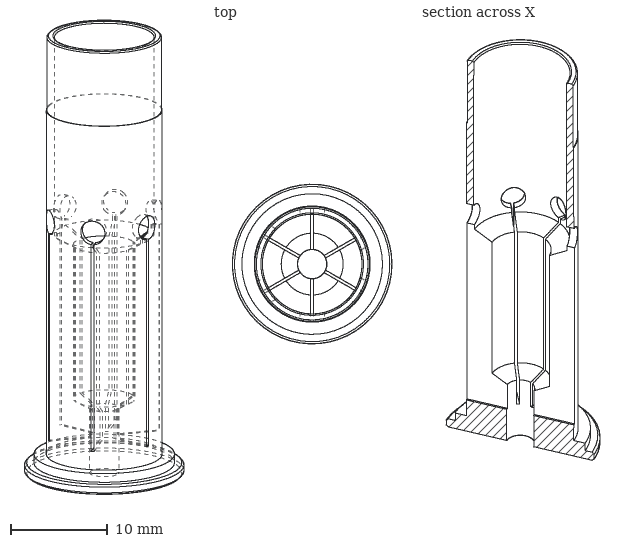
import cadquery as cq
import math

total_height = 47.0

flange_diameter = 16.5
flange_height = 1.1
flange_chamfer = 0.25
collar_diameter = 14.5
collar_top = 2.0

tube_diameter = 12.0
neck_diameter = 11.85
neck_bottom = 39.0
rim_chamfer = 0.155

keyhole_count = 6
slot_width = 0.3
slot_bottom = 4.0
relief_diameter = 2.55
relief_height = 27.5

guide_diameter = 3.0
middle_bore_diameter = 6.4
wide_bore_diameter = 10.3
cone_slope = 30.0
guide_top = slot_bottom + guide_diameter
middle_bore_top = 24.55


def disc(diameter, height):
    """Upright cylinder standing on the base plane, centred on the part axis."""
    return cq.Workplane("XY").circle(diameter / 2).extrude(height)


def outer_body():
    """Solid flange, collar, tube and neck."""
    flange = disc(flange_diameter, flange_height).edges().chamfer(flange_chamfer)
    collar = disc(collar_diameter, collar_top)
    tube = disc(tube_diameter, neck_bottom)
    neck = disc(neck_diameter, total_height).faces(">Z").edges().chamfer(rim_chamfer)
    return flange.union(collar).union(tube).union(neck)


def bore():
    """Stepped cavity along the axis, with a chamfered mouth at the top."""
    guide_radius = guide_diameter / 2
    middle_radius = middle_bore_diameter / 2
    wide_radius = wide_bore_diameter / 2
    rise_per_radius = math.tan(math.radians(cone_slope))
    lower_cone_top = guide_top + (middle_radius - guide_radius) * rise_per_radius
    upper_cone_top = middle_bore_top + (wide_radius - middle_radius) * rise_per_radius
    profile = [
        (0, 0),
        (guide_radius, 0),
        (guide_radius, guide_top),
        (middle_radius, lower_cone_top),
        (middle_radius, middle_bore_top),
        (wide_radius, upper_cone_top),
        (wide_radius, total_height - rim_chamfer),
        (wide_radius + rim_chamfer, total_height),
        (0, total_height),
    ]
    return cq.Workplane("XZ").polyline(profile).close().revolve(360, (0, 0, 0), (0, 1, 0))


def keyhole(angle):
    """Round relief hole with a slot below it, reaching outward from the axis."""
    reach = tube_diameter
    slot_length = relief_height - slot_bottom
    slot_centre = (slot_bottom + relief_height) / 2
    relief = cq.Workplane("XZ").center(0, relief_height).circle(relief_diameter / 2).extrude(reach)
    slot = cq.Workplane("XZ").center(0, slot_centre).rect(slot_width, slot_length).extrude(reach)
    return relief.union(slot).rotate((0, 0, 0), (0, 0, 1), angle)


result = outer_body().cut(bore())
for index in range(keyhole_count):
    result = result.cut(keyhole(index * 360 / keyhole_count))